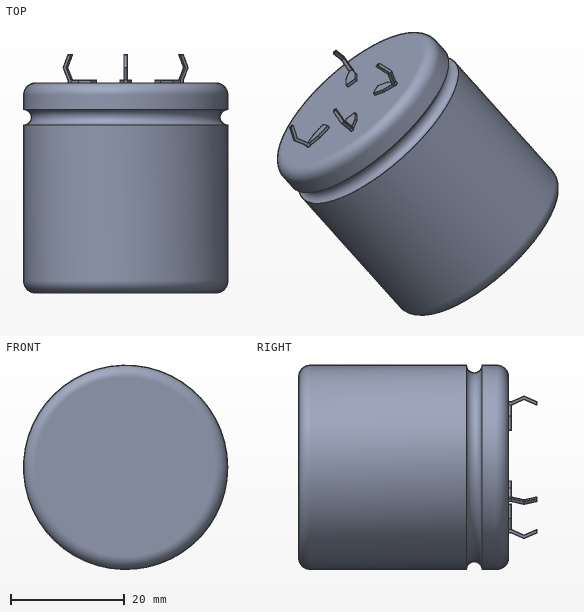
import cadquery as cq


can_radius = 18.0
can_length = 37.0
can_edge_radius = 2.1

groove_radius = 1.35
groove_setback = 6.05

terminal_circle_radius = 11.25
terminal_angles = (90, 210, 270, 330)
terminal_length = 4.99
terminal_thickness = 0.6
terminal_width = 0.6
bend_height = 2.7
bend_offset = 1.0

foot_thickness = 0.5
foot_width = 2.0
foot_inner_radius = 6.5
foot_shoulder_radius = 9.0


def make_can():
    can = cq.Workplane("XZ").circle(can_radius).extrude(can_length)
    return can.edges().fillet(can_edge_radius)


def make_groove():
    """Ring of circular section centred on the can wall."""
    return (
        cq.Workplane("XY")
        .center(can_radius, -groove_setback)
        .circle(groove_radius)
        .revolve(360, (-can_radius, 0), (-can_radius, 1))
    )


def make_blade():
    """Kinked blade of a terminal on the +X axis."""
    inner = terminal_circle_radius - terminal_thickness / 2
    outer = terminal_circle_radius + terminal_thickness / 2
    return (
        cq.Workplane("XY")
        .moveTo(inner, 0)
        .lineTo(outer, 0)
        .lineTo(outer, foot_thickness)
        .lineTo(outer + bend_offset, bend_height)
        .lineTo(outer, terminal_length)
        .lineTo(inner, terminal_length)
        .lineTo(inner + bend_offset, bend_height)
        .lineTo(inner, foot_thickness)
        .close()
        .extrude(terminal_width / 2, both=True)
    )


def make_foot():
    """Foot plate of a terminal on the +X axis, tapering out to the blade width."""
    foot_outer_radius = terminal_circle_radius - terminal_thickness / 2
    half_foot = foot_width / 2
    half_blade = terminal_width / 2
    return (
        cq.Workplane("XZ")
        .moveTo(foot_inner_radius, -half_foot)
        .lineTo(foot_shoulder_radius, -half_foot)
        .lineTo(foot_outer_radius, -half_blade)
        .lineTo(foot_outer_radius, half_blade)
        .lineTo(foot_shoulder_radius, half_foot)
        .lineTo(foot_inner_radius, half_foot)
        .close()
        .extrude(-foot_thickness)
    )


body = make_can().cut(make_groove())
terminal = make_blade().union(make_foot())
for angle in terminal_angles:
    body = body.union(terminal.rotate((0, 0, 0), (0, 1, 0), -angle))

result = body